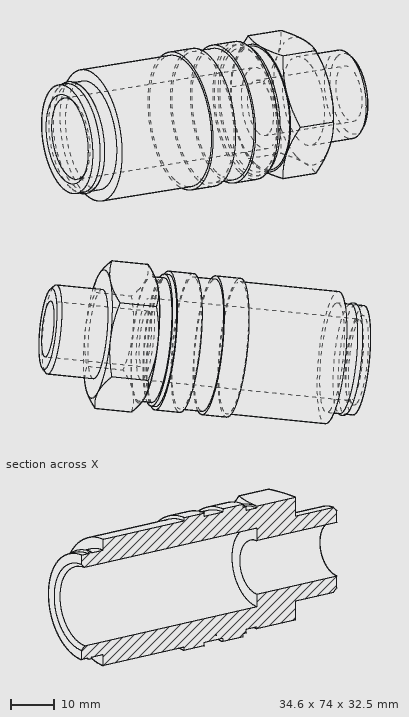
import cadquery as cq
import math

body_start = 6.3
collar_length = 5.9
front_collar_start = 29.75
rear_collar_start = 40.9
body_end = 47.8
nut_start = 50.8
nut_end = 62.1
total_length = 74.0

nose_radius = 12.8
body_radius = 15.5
collar_diameter = 32.5
collar_radius = collar_diameter / 2
neck_radius = 14.6
spigot_radius = 10.4
spigot_chamfer = 0.95

ring_station = 2.5
ring_section_radius = 0.7
ring_outer_radius = 13.2

nut_corner_radius = 17.3
nut_flat_radius = nut_corner_radius * math.cos(math.pi / 6)
nut_chamfer_length = (nut_corner_radius - nut_flat_radius) * math.tan(math.pi / 6)

bore_radius = 6.5
socket_radius = 9.55
socket_depth = nut_start
mouth_chamfer = 0.95


def cylinder(radius, start, end):
    """Solid cylinder on the Y axis between two stations."""
    return cq.Workplane("XZ", origin=(0, start, 0)).circle(radius).extrude(start - end)


def revolved(profile):
    """Revolve a closed (radius, station) profile about the Y axis."""
    return cq.Workplane("XY").polyline(profile).close().revolve(360, (0, 0, 0), (0, 1, 0))


def hex_nut():
    """Hexagon with both ends cut back by cones tangent to the flats."""
    prism = (
        cq.Workplane("XZ", origin=(0, nut_start, 0))
        .polygon(6, 2 * nut_corner_radius)
        .extrude(nut_start - nut_end)
    )
    envelope = revolved([
        (0, nut_start),
        (nut_flat_radius, nut_start),
        (nut_corner_radius, nut_start + nut_chamfer_length),
        (nut_corner_radius, nut_end - nut_chamfer_length),
        (nut_flat_radius, nut_end),
        (0, nut_end),
    ])
    return prism.intersect(envelope)


def retaining_ring():
    """Round wire ring, partly sunk into the nose."""
    return (
        cq.Workplane("XY")
        .center(ring_outer_radius - ring_section_radius, ring_station)
        .circle(ring_section_radius)
        .revolve(360, (ring_section_radius - ring_outer_radius, 0, 0),
                 (ring_section_radius - ring_outer_radius, 1, 0))
    )


def passages():
    """Through bore opening into a socket with a chamfered mouth."""
    return revolved([
        (0, 0),
        (socket_radius + mouth_chamfer, 0),
        (socket_radius, mouth_chamfer),
        (socket_radius, socket_depth),
        (bore_radius, socket_depth),
        (bore_radius, total_length),
        (0, total_length),
    ])


spigot = cylinder(spigot_radius, nut_end, total_length).faces(">Y").chamfer(spigot_chamfer)

outer = cylinder(nose_radius, 0, body_start)
outer = outer.union(cylinder(body_radius, body_start, body_end))
for collar_start in (front_collar_start, rear_collar_start):
    outer = outer.union(cylinder(collar_radius, collar_start, collar_start + collar_length))
outer = outer.union(cylinder(neck_radius, body_end, nut_start))
outer = outer.union(hex_nut()).union(spigot).union(retaining_ring())

result = outer.cut(passages())